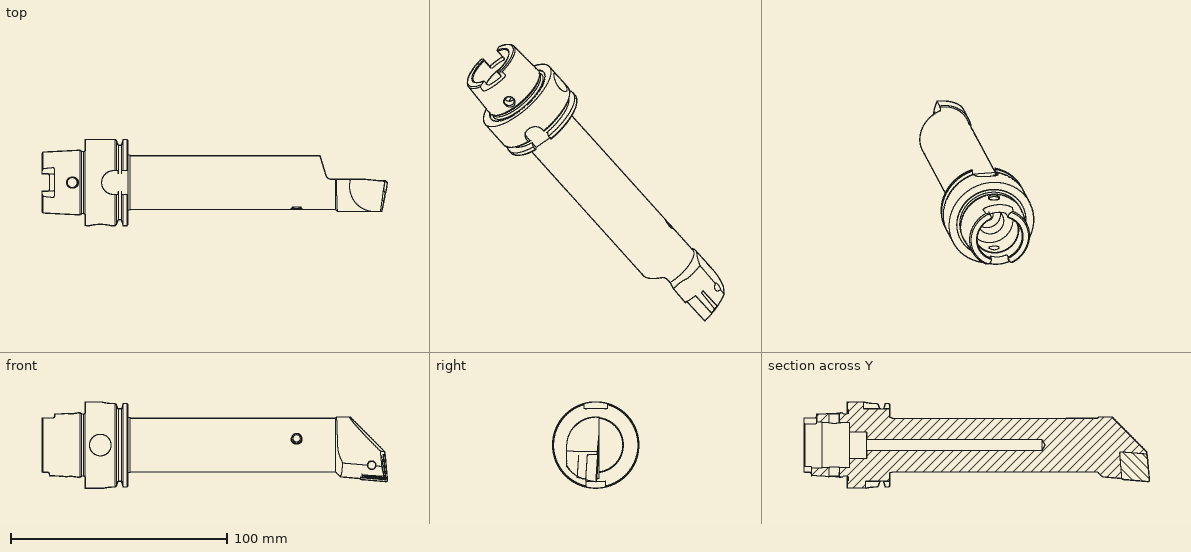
import cadquery as cq
import math


shank_length = 20.0
flange_length = 19.75
flange_radius = 20.0
bar_radius = 12.5
tip_x = 139.86
tip_z = -17.0

taper_slope = 0.05
taper_gauge_x = -4.0
taper_gauge_radius = 14.94
shank_end_chamfer = 0.6
undercut_length = 2.3
undercut_radius = 14.4
undercut_slope_length = 0.7
undercut_face_radius = 14.9
face_recess_radius = 16.3
face_recess_depth = 0.5
mouth_radius = 11.0
mouth_chamfer = 0.4
bore_step_x = -11.6
bore_radius = 10.3
bore_floor_x = 1.0
tube_seat_radius = 6.0
tube_seat_depth = 8.0
coolant_radius = 2.5
coolant_end_x = 90.0
drill_half_angle = math.radians(59)
cross_hole_x = -6.0
cross_hole_diameter = 4.6
cross_hole_chamfer = 0.5

notch_half_width = 4.0
notch_round = 2.2
notch_floor_fillet = 0.8
notch_ledge_z = 12.6
top_notch_depth = 5.85
bottom_notch_depth = 3.4

groove_x = 16.0
groove_floor_radius = 17.3
groove_floor_width = 1.4
groove_mouth_width = 3.2
flange_chamfer = 0.5
keyway_floor = 16.8
top_keyway_start = 7.6
top_keyway_width = 11.0
bottom_keyway_width = 9.0
chip_hole_x = 7.0
chip_hole_diameter = 10.0
chip_hole_depth = 4.5
collar_radius = 12.8
collar_length = 1.0

head_start_x = 115.8
head_radius = 13.45
head_axis_z = -0.45
head_corner_z = -8.0
head_corner_sagitta = 0.6
head_clearance_y = -6.5
head_clearance_angle = 9.0
head_bottom_z = -14.5
head_back_chamfer = 3.0
head_length = 30.0
head_overlap = 3.0
lead_angle = 5.0
nose_cut_sum = 135.4
nose_cut_tilt = 5.0
end_face_x = 138.45
end_face_z = -3.0
end_clearance = 8.0

rake_land_y = 1.6
relief_start_x = 108.6
relief_angle = 17.0
relief_fillet = 2.5
rim_start_x = 127.5
rim_drop = 0.3

insert_radius = 6.35
nose_radius = 0.8
insert_point_angle = 80.0
insert_thickness = 4.76
insert_clearance = 7.0
shim_thickness = 4.0
shim_setback = 0.3
rake_tilt_x = 0.035
rake_tilt_z = 0.065
shim_screw_radius = 1.9
shim_screw_length = 5.5

plug_x = 97.8
plug_z = 3.1
plug_radius = 2.3
plug_length = 4.0
plug_recess = 0.8
plug_hole_chamfer = 0.2
plug_socket_radius = 1.7
plug_socket_depth = 1.2

cut_size = 60.0


def revolve_about_x(points):
    """Turn an outline of (x, radius) points about the tool axis."""
    return cq.Workplane("XY").polyline(points).close().revolve(360, (0, 0, 0), (1, 0, 0))


def taper_radius(x):
    return taper_gauge_radius + taper_slope * (x - taper_gauge_x)


def drill_tip(radius):
    return radius / math.tan(drill_half_angle)



def turned_body():
    end_radius = taper_radius(-shank_length)
    groove_half_mouth = groove_mouth_width / 2
    groove_half_floor = groove_floor_width / 2
    collar_end = flange_length + collar_length
    chamfered_radius = flange_radius - flange_chamfer
    return revolve_about_x([
        (-shank_length, 0),
        (-shank_length, end_radius - shank_end_chamfer),
        (-shank_length + shank_end_chamfer, end_radius),
        (-undercut_length, taper_radius(-undercut_length)),
        (-undercut_length + undercut_slope_length, undercut_radius),
        (-undercut_slope_length, undercut_radius),
        (face_recess_depth, undercut_face_radius),
        (face_recess_depth, face_recess_radius),
        (0, face_recess_radius),
        (0, flange_radius),
        (groove_x - groove_half_mouth - flange_chamfer, flange_radius),
        (groove_x - groove_half_mouth, chamfered_radius),
        (groove_x - groove_half_floor, groove_floor_radius),
        (groove_x + groove_half_floor, groove_floor_radius),
        (groove_x + groove_half_mouth, flange_radius),
        (flange_length - flange_chamfer, flange_radius),
        (flange_length, chamfered_radius),
        (flange_length, collar_radius),
        (collar_end, collar_radius),
        (collar_end, bar_radius),
        (head_start_x + head_back_chamfer, bar_radius),
        (head_start_x + head_back_chamfer, 0),
    ])


def inner_bores():
    seat_floor_x = bore_floor_x + tube_seat_depth
    return revolve_about_x([
        (-shank_length, 0),
        (-shank_length, mouth_radius),
        (-shank_length + mouth_chamfer, mouth_radius - mouth_chamfer),
        (bore_step_x, mouth_radius - mouth_chamfer),
        (bore_step_x, bore_radius),
        (bore_floor_x, bore_radius),
        (bore_floor_x, tube_seat_radius),
        (seat_floor_x, tube_seat_radius),
        (seat_floor_x, coolant_radius),
        (coolant_end_x, coolant_radius),
        (coolant_end_x + drill_tip(coolant_radius), 0),
    ])


def driving_notch(depth, side):
    """Notch with rounded shoulders, in the top (side = 1) or the bottom (side = -1) of the shank end."""
    shoulder_z = notch_ledge_z - notch_round
    ledge_y = notch_half_width + notch_round
    bend = notch_round * (1 - math.sqrt(0.5))
    bend_y = notch_half_width + bend
    bend_z = notch_ledge_z - bend
    profile = (
        cq.Workplane("YZ", origin=(-shank_length, 0, 0))
        .moveTo(-notch_half_width, 0)
        .lineTo(-notch_half_width, side * shoulder_z)
        .threePointArc((-bend_y, side * bend_z), (-ledge_y, side * notch_ledge_z))
        .lineTo(-flange_radius, side * notch_ledge_z)
        .lineTo(-flange_radius, side * flange_radius)
        .lineTo(flange_radius, side * flange_radius)
        .lineTo(flange_radius, side * notch_ledge_z)
        .lineTo(ledge_y, side * notch_ledge_z)
        .threePointArc((bend_y, side * bend_z), (notch_half_width, side * shoulder_z))
        .lineTo(notch_half_width, 0)
        .close()
    )
    return profile.extrude(depth).faces(">X").edges("not |Y").fillet(notch_floor_fillet)


def keyway(width, side):
    """Round-ended keyway through the flange's back face, on the top or the bottom."""
    round_x = top_keyway_start + top_keyway_width / 2
    length = flange_length - round_x
    depth = flange_radius - keyway_floor
    slab = cq.Workplane("XY").box(length, width, depth, centered=(False, True, False))
    slab = slab.union(cq.Workplane("XY").circle(width / 2).extrude(depth))
    base_z = keyway_floor if side > 0 else -flange_radius
    return slab.translate((round_x, 0, base_z))


def cross_hole(side):
    """Hole through the top (side = 1) or bottom (side = -1) shank wall, flared at the outer surface."""
    radius = cross_hole_diameter / 2
    surface = taper_radius(cross_hole_x)
    reach = surface + cross_hole_chamfer
    outline = [
        (0, 0),
        (radius, 0),
        (radius, side * (surface - cross_hole_chamfer)),
        (radius + 2 * cross_hole_chamfer, side * reach),
        (0, side * reach),
    ]
    half_section = cq.Plane(origin=(cross_hole_x, 0, 0), xDir=(1, 1, 0), normal=(1, -1, 0))
    return cq.Workplane(half_section).polyline(outline).close().revolve(360, (0, 0, 0), (0, 1, 0))


def side_cylinder(radius, x, z, start_y, end_y):
    """Cylinder along +Y from start_y to end_y."""
    return cq.Workplane(
        cq.Solid.makeCylinder(radius, end_y - start_y, cq.Vector(x, start_y, z), cq.Vector(0, 1, 0))
    )


def chip_hole():
    return side_cylinder(
        chip_hole_diameter / 2, chip_hole_x, 0, -flange_radius - 1, -flange_radius + chip_hole_depth
    )


def keep_side(origin, normal):
    """Large block on the outer side of a plane, for cutting a flat face."""
    plane = cq.Plane(origin=origin, normal=normal)
    return cq.Workplane(plane).rect(4 * cut_size, 4 * cut_size).extrude(cut_size)


def cutting_head():
    """Head whose lower part runs down along the cutting edge's lead angle."""
    upper = (
        cq.Workplane("YZ", origin=(head_start_x, 0, 0))
        .center(0, head_axis_z)
        .circle(head_radius)
        .extrude(head_length)
    )
    lead = math.radians(lead_angle)
    foot_z = head_bottom_z - head_clearance_y * math.tan(math.radians(head_clearance_angle))
    side_y = -head_radius
    corner_width = head_clearance_y - side_y
    corner_height = head_corner_z - foot_z
    chord = math.hypot(corner_width, corner_height)
    arc_mid_y = (side_y + head_clearance_y) / 2 - head_corner_sagitta * corner_height / chord
    arc_mid_z = (head_corner_z + foot_z) / 2 - head_corner_sagitta * corner_width / chord
    lower = (
        cq.Workplane("YZ", origin=(head_start_x - head_overlap, 0, 0))
        .moveTo(side_y, head_axis_z)
        .lineTo(side_y, head_corner_z)
        .threePointArc((arc_mid_y, arc_mid_z), (head_clearance_y, foot_z))
        .lineTo(0, head_bottom_z)
        .lineTo(head_radius, head_bottom_z)
        .lineTo(head_radius, head_axis_z)
        .close()
        .extrude(head_overlap + head_length)
        .rotate((head_start_x, 0, 0), (head_start_x, 1, 0), lead_angle)
    )
    side_block = (
        cq.Workplane("YZ", origin=(head_start_x, 0, 0))
        .moveTo(side_y, head_axis_z)
        .lineTo(head_radius, head_axis_z)
        .lineTo(head_radius, head_corner_z)
        .lineTo(side_y, head_corner_z)
        .close()
        .extrude(head_length)
    )
    back_cone = revolve_about_x([
        (head_start_x, 0),
        (head_start_x, bar_radius),
        (head_start_x + cut_size, bar_radius + cut_size),
        (head_start_x + cut_size, 0),
    ])
    head = upper.union(side_block).union(lower).intersect(back_cone)

    nose_tilt = math.tan(math.radians(nose_cut_tilt)) * math.sqrt(2)
    head = head.cut(keep_side((nose_cut_sum, 0, 0), (1, -nose_tilt, 1)))
    end_normal = (1, -math.tan(math.radians(end_clearance)), math.tan(lead))
    return head.cut(keep_side((end_face_x, 0, end_face_z), end_normal))


def rake_relief():
    """Opening on the +Y side that clears the bar down to the rake land."""
    slope = math.tan(math.radians(relief_angle))
    foot_x = relief_start_x + slope * (bar_radius - rake_land_y)
    top_y = flange_radius
    top_x = relief_start_x - slope * (top_y - bar_radius)
    far_x = tip_x + 1
    relief = (
        cq.Workplane("XY", origin=(0, 0, -cut_size / 2))
        .polyline([(top_x, top_y), (foot_x, rake_land_y), (far_x, rake_land_y), (far_x, top_y)])
        .close()
        .extrude(cut_size)
    )
    foot_edge = cq.selectors.NearestToPointSelector((foot_x, rake_land_y, 0))
    return relief.edges(foot_edge).fillet(relief_fillet)



nose_center_x = tip_x - nose_radius
nose_center_z = tip_z + nose_radius
half_point = math.radians(insert_point_angle / 2)
nose_to_center = (insert_radius - nose_radius) / math.sin(half_point)
insert_center_x = nose_center_x - nose_to_center * math.sqrt(0.5)
insert_center_z = nose_center_z + nose_to_center * math.sqrt(0.5)
insert_center_y = rake_tilt_x * (tip_x - insert_center_x) + rake_tilt_z * (insert_center_z - tip_z)
rake_normal = cq.Vector(rake_tilt_x, 1, -rake_tilt_z).normalized()


def seat_plane(depth):
    """Plane parallel to the rake face and below it, its X axis pointing at the insert's nose."""
    center = cq.Vector(insert_center_x, insert_center_y, insert_center_z) - rake_normal * depth
    toward_nose = cq.Vector(1, 0, -1)
    toward_nose = toward_nose - rake_normal * toward_nose.dot(rake_normal)
    return cq.Plane(origin=center.toTuple(), xDir=toward_nose.toTuple(), normal=rake_normal.toTuple())


def rhombic_outline(depth, inscribed_radius):
    """Rhombus with rounded corners around the insert's axis."""
    core = inscribed_radius - nose_radius
    long_half = core / math.sin(half_point)
    short_half = core / math.cos(half_point)
    corners = [(long_half, 0), (0, short_half), (-long_half, 0), (0, -short_half)]
    return cq.Workplane(seat_plane(depth)).polyline(corners).close().offset2D(nose_radius)


def insert_body():
    return rhombic_outline(0, insert_radius).extrude(-insert_thickness, taper=insert_clearance)


shim_inscribed_radius = (
    insert_radius - insert_thickness * math.tan(math.radians(insert_clearance)) - shim_setback
)


def shim_blank():
    return rhombic_outline(insert_thickness, shim_inscribed_radius).extrude(
        -shim_thickness, taper=insert_clearance
    )


def shim_screw():
    return cq.Workplane(seat_plane(insert_thickness)).circle(shim_screw_radius).extrude(-shim_screw_length)


def shim_screw_hole():
    return cq.Workplane(seat_plane(insert_thickness)).circle(shim_screw_radius).extrude(-flange_radius)


def insert_pocket():
    above = rhombic_outline(0, insert_radius).extrude(flange_radius)
    return above.union(insert_body()).union(shim_blank())


def rim_cut():
    """Lowers the rim round the insert to a face just below the rake face."""
    face = cq.Workplane(seat_plane(rim_drop)).rect(cut_size, cut_size).extrude(cut_size)
    ahead = cq.Workplane("XY").box(cut_size, cut_size, 2 * cut_size, centered=(False, True, True))
    return face.intersect(ahead.translate((rim_start_x, 0, 0)))



plug_outer_y = -math.sqrt(bar_radius**2 - plug_z**2) + plug_recess
plug_inner_y = plug_outer_y + plug_length


def plug_hole():
    hole = side_cylinder(plug_radius, plug_x, plug_z, -flange_radius, plug_inner_y)
    countersink = cq.Solid.makeCone(
        plug_radius + 2 * plug_hole_chamfer,
        plug_radius,
        2 * plug_hole_chamfer,
        cq.Vector(plug_x, plug_outer_y - plug_recess - plug_hole_chamfer, plug_z),
        cq.Vector(0, 1, 0),
    )
    return hole.union(cq.Workplane(countersink))


def plug_screw():
    body = side_cylinder(plug_radius, plug_x, plug_z, plug_outer_y, plug_inner_y)
    socket_floor_y = plug_outer_y + plug_socket_depth
    socket = side_cylinder(plug_socket_radius, plug_x, plug_z, plug_outer_y, socket_floor_y)
    socket_tip = cq.Solid.makeCone(
        plug_socket_radius,
        0,
        drill_tip(plug_socket_radius),
        cq.Vector(plug_x, socket_floor_y, plug_z),
        cq.Vector(0, 1, 0),
    )
    return body.cut(socket).cut(cq.Workplane(socket_tip))


def tool_holder():
    body = turned_body().cut(inner_bores())
    body = body.cut(cross_hole(1))
    body = body.cut(cross_hole(-1))
    body = body.cut(chip_hole())
    body = body.cut(driving_notch(top_notch_depth, 1))
    body = body.cut(driving_notch(bottom_notch_depth, -1))
    body = body.cut(keyway(top_keyway_width, 1))
    body = body.cut(keyway(bottom_keyway_width, -1))
    body = body.union(cutting_head())
    body = body.cut(rake_relief())
    body = body.cut(rim_cut())
    body = body.cut(insert_pocket())
    body = body.cut(shim_screw_hole())
    return body.cut(plug_hole())


holder = tool_holder()
insert = insert_body()
screw = shim_screw()
shim = shim_blank().cut(screw)
plug = plug_screw()

result = cq.Compound.makeCompound([
    holder.val(),
    insert.val(),
    shim.val(),
    screw.val(),
    plug.val(),
])